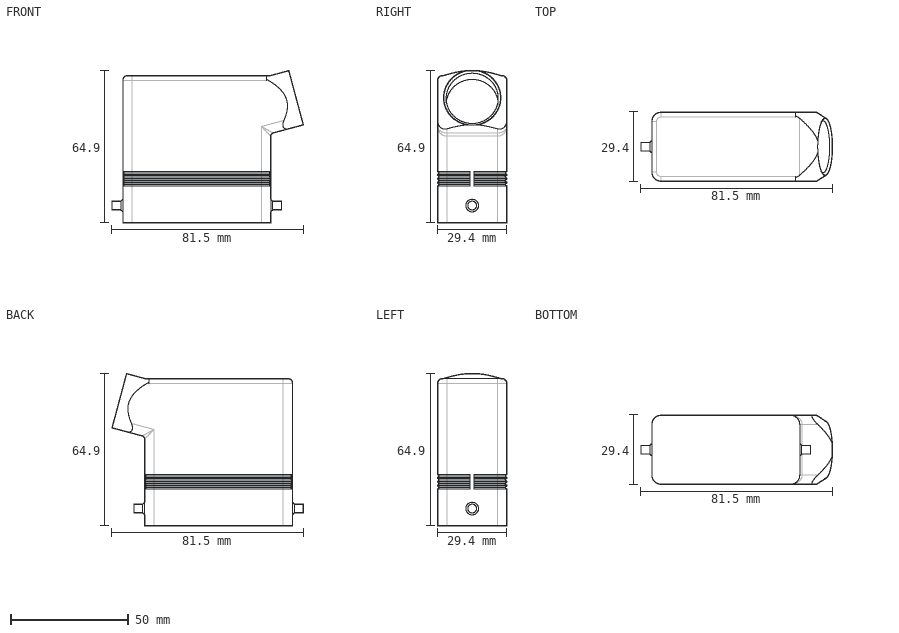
import cadquery as cq
import math

body_length = 63.0
body_width = 29.4
body_height = 62.8
corner_radius = 4.0
top_edge_radius = 2.0

tilt = math.radians(15)
mouth_x = 42.3
mouth_z = 53.3
spout_height = 24.0
mouth_radius = 12.2
mouth_taper = math.radians(31)
spout_root_x = 29.6
spout_reach = 24.45
crease_radius = 1.4
bore_radius = 11.1
bore_lead_in = 1.0

groove_count = 4
groove_pitch = 1.6
groove_width = 1.2
groove_depth = 0.7
lowest_groove_z = 16.4
bridge_width = 1.7

pin_radius = 1.9
pin_z = 7.4
pin_span = 72.2
collar_size = 0.8

half_length = body_length / 2
half_width = body_width / 2
half_spout = spout_height / 2
axis_x = math.cos(tilt)
axis_z = math.sin(tilt)
bore_depth = (mouth_x - half_length) / axis_x

underside_z = mouth_z - half_spout / axis_x - (mouth_x - half_length) * math.tan(tilt)
kink_x = mouth_x - (mouth_z + half_spout / axis_x - body_height) / math.tan(tilt)


def spout_point(along, across):
    """X and Z of a point measured from the mouth centre along and across the spout axis."""
    return (
        mouth_x + along * axis_x - across * axis_z,
        mouth_z + along * axis_z + across * axis_x,
    )


def mouth_workplane():
    """Workplane on the spout mouth, with its normal along the spout axis."""
    plane = cq.Plane(
        origin=(mouth_x, 0, mouth_z),
        xDir=(-axis_z, 0, axis_x),
        normal=(axis_x, 0, axis_z),
    )
    return cq.Workplane(plane)


def make_body():
    """Upright block, rounded all round below the spout and on three sides above it."""
    split_z = underside_z + 2 * corner_radius
    lower = (
        cq.Workplane("XY")
        .box(body_length, body_width, split_z, centered=(True, True, False))
        .edges("|Z")
        .fillet(corner_radius)
    )
    upper = (
        cq.Workplane("XY", origin=(-half_length, 0, split_z))
        .box(half_length + spout_root_x, body_width, body_height - split_z, centered=(False, True, False))
        .edges("|Z and <X")
        .fillet(corner_radius)
        .edges(">Z and (not >X)")
        .fillet(top_edge_radius)
    )
    return lower.union(upper)


def make_spout():
    """Tilted spout with rounded lower edges, trimmed by a cone that narrows to the mouth."""
    outline = [
        spout_point(0, half_spout),
        spout_point(0, -half_spout),
        spout_point(-spout_reach, -half_spout),
        (spout_root_x, body_height - top_edge_radius),
        (spout_root_x, body_height),
        (kink_x, body_height),
    ]
    downward = cq.selectors.DirectionMinMaxSelector(cq.Vector(axis_z, 0, -axis_x))
    along_axis = cq.selectors.ParallelDirSelector(cq.Vector(axis_x, 0, axis_z))
    block = (
        cq.Workplane("XZ", origin=(0, half_width, 0))
        .polyline(outline)
        .close()
        .extrude(body_width)
        .faces(downward)
        .edges(along_axis)
        .fillet(corner_radius)
    )
    root_radius = mouth_radius + spout_reach * math.tan(mouth_taper)
    cone = (
        mouth_workplane()
        .circle(mouth_radius)
        .workplane(offset=-spout_reach)
        .circle(root_radius)
        .loft()
    )
    return block.intersect(cone)


def round_crease(hood):
    """Round the inner corner between the end wall and the underside of the spout."""
    margin = 0.1
    crease = cq.selectors.BoxSelector(
        (half_length - corner_radius - margin, -half_width - margin, underside_z - margin),
        (half_length + margin, half_width + margin, underside_z + corner_radius),
        boundingbox=True,
    )
    return hood.edges(crease).fillet(crease_radius)


def make_bore():
    """Blind bore, from the mouth to the plane of the end wall, with a conical lead-in."""
    bore = mouth_workplane().circle(bore_radius).extrude(-bore_depth)
    lead_in = (
        mouth_workplane()
        .circle(bore_radius + bore_lead_in)
        .workplane(offset=-bore_lead_in)
        .circle(bore_radius)
        .loft()
    )
    return bore.union(lead_in)


def make_groove(z):
    """V-shaped ring cutter around the body, with a gap at each bridge."""
    half_groove = groove_width / 2
    flank_angle = math.degrees(math.atan2(groove_depth, half_groove))
    plan = cq.Sketch().rect(body_length, body_width).vertices().fillet(corner_radius)
    ring = cq.Workplane("XY", origin=(0, 0, z)).box(
        body_length + groove_width, body_width + groove_width, groove_width
    )
    for side in (-1, 1):
        core = (
            cq.Workplane("XY", origin=(0, 0, z + side * half_groove))
            .placeSketch(plan)
            .extrude(-side * half_groove, taper=flank_angle)
        )
        ring = ring.cut(core)
    bridges = cq.Workplane("XY", origin=(0, 0, z)).box(
        2 * body_length, bridge_width, 2 * groove_width
    )
    return ring.cut(bridges)


def make_pins():
    """Pins on both end faces, each with a conical collar at the wall."""
    tip_x = pin_span / 2
    collar_radius = pin_radius + collar_size
    root_x = half_length - corner_radius
    profile = [
        (root_x, 0),
        (tip_x, 0),
        (tip_x, pin_radius),
        (half_length + collar_size, pin_radius),
        (half_length, collar_radius),
        (root_x, collar_radius),
    ]
    pin = (
        cq.Workplane("XZ", origin=(0, 0, pin_z))
        .polyline(profile)
        .close()
        .revolve(360, (0, 0), (1, 0))
    )
    return pin.union(pin.mirror("YZ"))


result = round_crease(make_body().union(make_spout()))
result = result.cut(make_bore())
for index in range(groove_count):
    result = result.cut(make_groove(lowest_groove_z + index * groove_pitch))
result = result.union(make_pins())